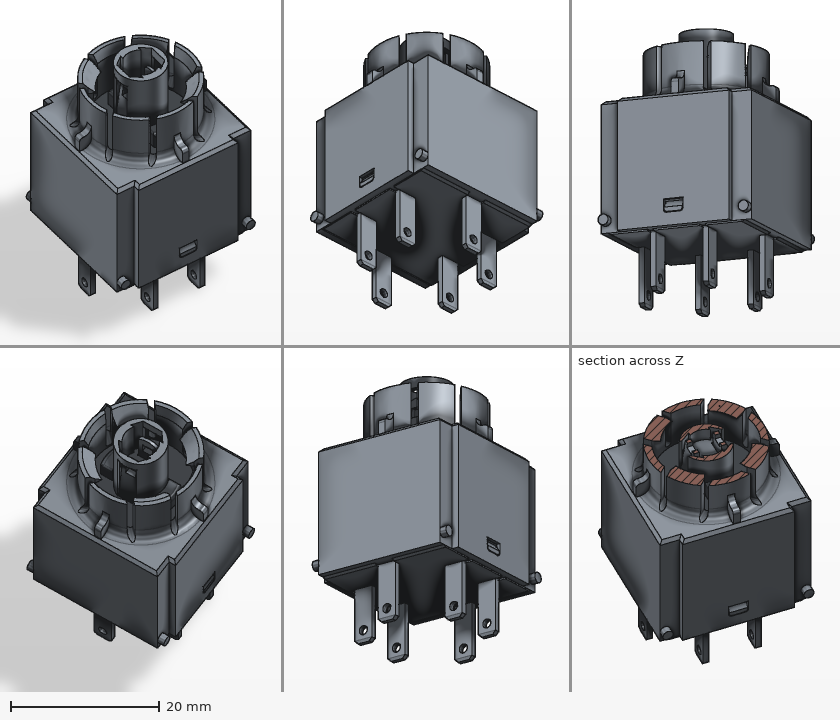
import cadquery as cq

body_side = 22.2
deck_z = 18.35
deck_chamfer = 0.5
well_floor_z = 18.05
corner_notch_x = 1.05
corner_notch_y = 2.85

pin_diameter = 1.5
pin_z = 1.7

window_width = 2.9
window_bottom_z = 1.8
window_top_z = 3.7
window_depth = 0.55
window_corner_radius = 0.5
latch_gap = 0.1
latch_ramp_z = 2.55
latch_top_z = 3.45

plate_x = 20.05
plate_y = 20.25
plate_thickness = 0.22
plate_bevel = 0.5
terminal_width = 2.85
terminal_thickness = 0.8
terminal_tip_height = 0.5
terminal_tip_thickness = 0.65
terminal_hole_diameter = 1.3
terminal_hole_above_tip = 1.78
side_terminal_x = 7.5
side_terminal_y = 3.85
side_terminal_length = 8.2
middle_terminal_y = 8.9
middle_terminal_length = 8.42

collar_outer_radius = 8.55
collar_inner_radius = 7.35
collar_rim_radius = 7.9
collar_top_z = 25.9
collar_bevel_height = 1.55
collar_base_fillet = 1.5
slot_width = 0.95
slot_offset = 2.95
slot_floor_z = 18.4
hook_inner_radius = 6.15
hook_angle = 40.0

rib_width = 1.08
rib_reach = 10.55
rib_top_z = 20.63
rib_corner_radius = 0.6
rib_blend_radius = 1.25

socket_top_z = 28.68
socket_diameter = 7.4
socket_floor_z = 22.25
bore_radius = 2.52
bore_half_height = 1.5
bay_base_width = 5.2
bay_outer_width = 3.05
bay_outer_y = 2.9
side_window_width = 3.08
side_window_top_z = 27.2
leaf_width = 2.93
leaf_inner_y = 1.65
leaf_top_y = 2.1
leaf_base_y = 3.25
leaf_crown_z = 26.4
leaf_crown_radius = 2.08
leaf_pocket_inner_y = 1.4
leaf_hole_width = 1.6
leaf_hole_bottom_z = 23.5
leaf_hole_height = 1.5

tab_reach = 5.75
tab_width = 3.35
tab_top_z = 20.35
tab_corner_radius = 0.37
tab_edge_radius = 0.25
tab_clearance = 0.15
tab_end_radius = 0.55

half_side = body_side / 2


def block(x_range, y_range, z_range):
    """Axis-aligned box given by its (low, high) limits."""
    sizes = [high - low for low, high in (x_range, y_range, z_range)]
    return cq.Workplane("XY").box(*sizes, centered=False).translate((x_range[0], y_range[0], z_range[0]))


def quarter_turns(shape, start=0):
    """Four copies of a shape spaced 90 degrees about Z."""
    copies = shape.rotate((0, 0, 0), (0, 0, 1), start)
    for turn in range(1, 4):
        copies = copies.union(shape.rotate((0, 0, 0), (0, 0, 1), start + 90 * turn))
    return copies


def make_housing():
    """Block with stepped corners, a chamfered deck, four pins and a shallow well for the collar."""
    across_x = cq.Workplane("XY").rect(body_side, body_side - 2 * corner_notch_y).extrude(deck_z)
    across_y = cq.Workplane("XY").rect(body_side - 2 * corner_notch_x, body_side).extrude(deck_z)
    housing = across_x.union(across_y).faces(">Z").chamfer(deck_chamfer)
    pin_y = half_side - pin_diameter / 2
    pins = (
        cq.Workplane("YZ", origin=(-half_side, 0, 0))
        .pushPoints([(-pin_y, pin_z), (pin_y, pin_z)])
        .circle(pin_diameter / 2)
        .extrude(body_side)
    )
    well = cq.Workplane("XY", origin=(0, 0, well_floor_z)).circle(collar_outer_radius).extrude(deck_z)
    return housing.union(pins).cut(well)


def make_latch_recess():
    """Window in the -X wall, leaving the ramped latch standing inside it."""

    def window(gap, top_z):
        low = window_bottom_z + gap
        return (
            block((-half_side, -half_side + window_depth),
                  (gap - window_width / 2, window_width / 2 - gap),
                  (low, top_z))
            .edges("|X and <Z")
            .fillet(window_corner_radius - gap)
        )

    ramp = (
        cq.Workplane("XZ", origin=(0, window_width / 2, 0))
        .moveTo(-half_side, latch_ramp_z)
        .lineTo(-half_side + window_depth, latch_top_z)
        .lineTo(-half_side, latch_top_z)
        .close()
        .extrude(window_width)
    )
    latch = window(latch_gap, latch_top_z).cut(ramp)
    return window(0, window_top_z).cut(latch)


def make_terminal(x, y, length):
    """Blade hanging below Z = 0 with a tapered tip and a cross hole."""
    tip_z = -length
    shoulder_z = tip_z + terminal_tip_height
    blade = cq.Workplane("XY").rect(terminal_width, terminal_thickness).extrude(shoulder_z)
    tip = (
        cq.Workplane("XY", origin=(0, 0, shoulder_z))
        .rect(terminal_width, terminal_thickness)
        .workplane(offset=-terminal_tip_height)
        .rect(terminal_width - 2 * terminal_tip_height, terminal_tip_thickness)
        .loft()
    )
    hole = (
        cq.Workplane("XZ", origin=(0, 0, tip_z + terminal_hole_above_tip))
        .circle(terminal_hole_diameter / 2)
        .extrude(terminal_thickness, both=True)
    )
    return blade.union(tip).cut(hole).translate((x, y, 0))


def make_base():
    """Plate under the housing, notched out to its edge at each terminal, plus the terminals."""
    half_y = plate_y / 2
    base = (
        cq.Workplane("YZ", origin=(-plate_x / 2, 0, 0))
        .moveTo(-half_y, 0)
        .lineTo(half_y, 0)
        .lineTo(half_y - plate_bevel, -plate_thickness)
        .lineTo(plate_bevel - half_y, -plate_thickness)
        .close()
        .extrude(plate_x)
    )
    terminals = []
    for side in (-1, 1):
        notch_y = sorted((side * (middle_terminal_y - terminal_thickness / 2), side * half_y))
        base = base.cut(block((-terminal_width / 2, terminal_width / 2), notch_y, (-plate_thickness, 0)))
        terminals.append(make_terminal(0, side * middle_terminal_y, middle_terminal_length))
        notch_x = sorted((side * (side_terminal_x - terminal_width / 2), side * plate_x / 2))
        for y in (-side_terminal_y, side_terminal_y):
            notch_y = (y - terminal_thickness / 2, y + terminal_thickness / 2)
            base = base.cut(block(notch_x, notch_y, (-plate_thickness, 0)))
            terminals.append(make_terminal(side * side_terminal_x, y, side_terminal_length))
    for terminal in terminals:
        base = base.union(terminal)
    return base


def make_collar():
    """Ring with a flared foot and bevelled mouth, seated on the floor of the well."""
    foot_radius = collar_outer_radius + collar_base_fillet
    foot_top_z = deck_z + collar_base_fillet
    return (
        cq.Workplane("XZ")
        .moveTo(collar_inner_radius, well_floor_z)
        .lineTo(collar_outer_radius, well_floor_z)
        .lineTo(collar_outer_radius, deck_z)
        .lineTo(foot_radius, deck_z)
        .radiusArc((collar_outer_radius, foot_top_z), collar_base_fillet)
        .lineTo(collar_outer_radius, collar_top_z)
        .lineTo(collar_rim_radius, collar_top_z)
        .lineTo(collar_inner_radius, collar_top_z - collar_bevel_height)
        .close()
        .revolve(360, (0, 0, 0), (0, 1, 0))
    )


def make_hooks():
    """Inward hooks on the diagonals, ramped from the rim down to a flat underside."""
    hook_z = collar_top_z - (collar_rim_radius - hook_inner_radius)
    hook = (
        cq.Workplane("XZ")
        .moveTo(collar_rim_radius, collar_top_z)
        .lineTo(hook_inner_radius, hook_z)
        .lineTo(collar_rim_radius, hook_z)
        .close()
        .revolve(hook_angle, (0, 0, 0), (0, 1, 0))
    )
    return quarter_turns(hook, 45 - hook_angle / 2)


def make_collar_slots():
    """Round-bottomed slots in parallel pairs, one pair either side of each diagonal."""
    round_z = slot_floor_z + slot_width / 2
    slot_length = collar_outer_radius + collar_base_fillet
    slot = (
        cq.Workplane("YZ", origin=(0, slot_offset, 0))
        .moveTo(-slot_width / 2, collar_top_z)
        .lineTo(-slot_width / 2, round_z)
        .threePointArc((0, slot_floor_z), (slot_width / 2, round_z))
        .lineTo(slot_width / 2, collar_top_z)
        .close()
        .extrude(slot_length)
    )
    return quarter_turns(slot.union(slot.mirror("XZ")), 45)


def make_ribs():
    """Upright webs bracing the collar on the X and Y axes."""
    root_x = (collar_outer_radius + collar_inner_radius) / 2
    blend_z = rib_top_z + rib_blend_radius
    rib = (
        cq.Workplane("XZ", origin=(0, rib_width / 2, 0))
        .moveTo(root_x, deck_z - deck_chamfer)
        .lineTo(rib_reach, deck_z - deck_chamfer)
        .lineTo(rib_reach, rib_top_z - rib_corner_radius)
        .radiusArc((rib_reach - rib_corner_radius, rib_top_z), -rib_corner_radius)
        .lineTo(collar_outer_radius + rib_blend_radius, rib_top_z)
        .radiusArc((collar_outer_radius, blend_z), rib_blend_radius)
        .lineTo(root_x, blend_z)
        .close()
        .extrude(rib_width)
    )
    return quarter_turns(rib)


def make_socket_opening():
    """Round bore with its sides trimmed flat, widening into a tapered bay at each end in Y."""
    height = socket_top_z - socket_floor_z
    plane = cq.Workplane("XY", origin=(0, 0, socket_floor_z))
    opening = plane.circle(bore_radius).extrude(height)
    opening = opening.intersect(plane.rect(body_side, 2 * bore_half_height).extrude(height))
    for side in (-1, 1):
        bay = (
            plane.moveTo(-bay_base_width / 2, side * bore_half_height)
            .lineTo(bay_base_width / 2, side * bore_half_height)
            .lineTo(bay_outer_width / 2, side * bay_outer_y)
            .lineTo(-bay_outer_width / 2, side * bay_outer_y)
            .close()
            .extrude(height)
        )
        opening = opening.union(bay)
    return opening


def make_leaf():
    """Contact leaf at the +Y end: outer face leaning inward, arched crown and a rectangular hole."""
    leaf = (
        cq.Workplane("YZ", origin=(-leaf_width / 2, 0, 0))
        .moveTo(leaf_inner_y, well_floor_z)
        .lineTo(leaf_base_y, well_floor_z)
        .lineTo(leaf_top_y, leaf_crown_z)
        .lineTo(leaf_inner_y, leaf_crown_z)
        .close()
        .extrude(leaf_width)
    )
    crown_centre_z = leaf_crown_z - leaf_crown_radius
    arch = cq.Workplane("XZ").center(0, crown_centre_z).circle(leaf_crown_radius).extrude(-socket_diameter)
    arch_legs = block((-leaf_width / 2, leaf_width / 2), (0, socket_diameter), (well_floor_z, crown_centre_z))
    arch = arch.union(arch_legs)
    hole = block(
        (-leaf_hole_width / 2, leaf_hole_width / 2),
        (0, socket_diameter),
        (leaf_hole_bottom_z, leaf_hole_bottom_z + leaf_hole_height),
    )
    return leaf.intersect(arch).cut(hole)


def make_socket():
    """Tube with a keyed bore, and a window and pocket at each Y end that hold the contact leaves."""
    socket_height = socket_top_z - well_floor_z
    floor = cq.Workplane("XY", origin=(0, 0, well_floor_z))
    socket = floor.circle(socket_diameter / 2).extrude(socket_height)
    socket = socket.cut(make_socket_opening())
    pocket = block(
        (-leaf_width / 2, leaf_width / 2),
        (leaf_pocket_inner_y, bay_outer_y),
        (well_floor_z, socket_top_z),
    )
    side_window = block(
        (-side_window_width / 2, side_window_width / 2),
        (bay_outer_y, socket_diameter),
        (well_floor_z, side_window_top_z),
    )
    opening = pocket.union(side_window)
    leaf = make_leaf()
    socket = socket.cut(opening).cut(opening.mirror("XZ"))
    return socket.union(leaf).union(leaf.mirror("XZ"))


def make_tabs():
    """Bar with rounded top edges, trimmed to a disc with a rounded rim and cleared round the socket."""
    height = tab_top_z - well_floor_z
    floor = cq.Workplane("XY", origin=(0, 0, well_floor_z))
    bar = floor.rect(2 * tab_reach, tab_width).extrude(height).faces(">Z").edges("|X").fillet(tab_edge_radius)
    rim = floor.circle(tab_reach).extrude(height).faces(">Z").edges().fillet(tab_end_radius)
    outline = floor.rect(2 * tab_reach, tab_width).extrude(height)
    outline = outline.intersect(floor.circle(tab_reach).extrude(height)).edges("|Z").fillet(tab_corner_radius)
    clearance = floor.circle(socket_diameter / 2 + tab_clearance).extrude(height)
    return outline.intersect(bar).intersect(rim).cut(clearance)


latch_recess = make_latch_recess()
result = (
    make_housing()
    .cut(latch_recess)
    .cut(latch_recess.mirror("YZ"))
    .union(make_base())
    .union(make_collar().union(make_hooks()).cut(make_collar_slots()))
    .union(make_ribs())
    .union(make_socket())
    .union(make_tabs())
)